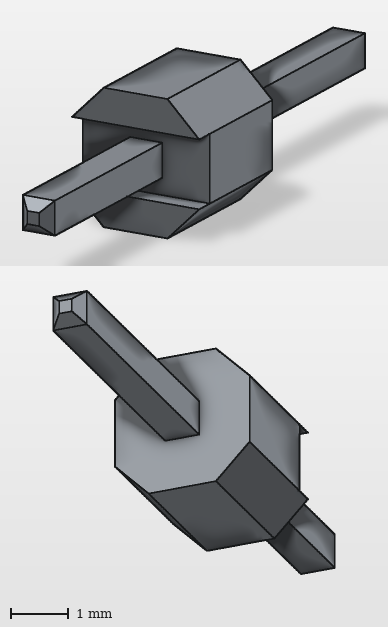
import cadquery as cq

pitch = 2.54
corner_chamfer = pitch / 4
slot_height = pitch - 2 * corner_chamfer
slot_depth = 0.37

pin_width = 0.64
front_pin_length = 3.56
rear_pin_length = 5.08
tip_bevel = 0.2

front_face_y = -pitch / 2
rear_face_y = pitch / 2


def box_along_y(width, height, y_start, y_end):
    """Box centred on the Y axis between two Y positions."""
    length = y_end - y_start
    return cq.Workplane("XY").box(width, length, height).translate((0, (y_start + y_end) / 2, 0))


def make_insulator():
    body = box_along_y(pitch, pitch, front_face_y, rear_face_y)
    body = body.edges("|Y").chamfer(corner_chamfer)
    slot = box_along_y(pitch, slot_height, front_face_y, front_face_y + slot_depth)
    return body.cut(slot)


def make_pin():
    front_end_y = front_face_y - front_pin_length
    rear_end_y = rear_face_y + rear_pin_length
    pin = box_along_y(pin_width, pin_width, front_end_y, rear_end_y)
    return pin.faces("<Y or >Y").chamfer(tip_bevel)


result = make_insulator().union(make_pin())